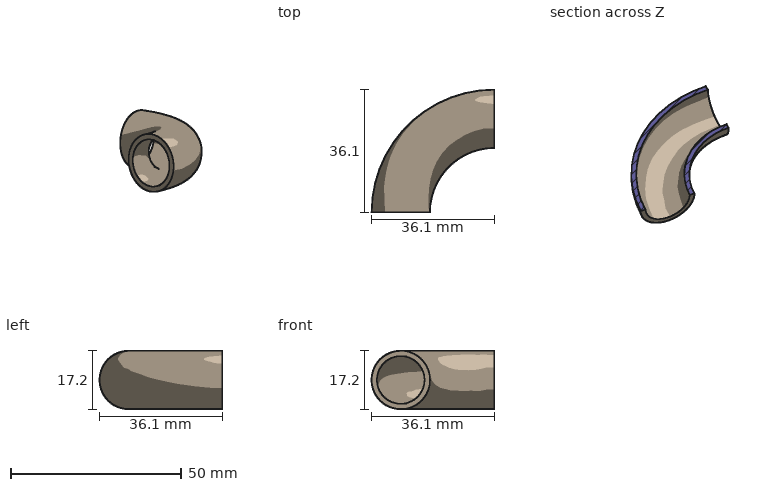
import cadquery as cq

outer_diameter = 17.2
wall_thickness = 1.6
bend_radius = 27.5
bend_angle = 90

inner_diameter = outer_diameter - 2 * wall_thickness


def make_elbow():
    """Sweep the pipe ring about a vertical axis, from the -Y facing end to the +X facing end."""
    ring = (
        cq.Workplane("XZ")
        .circle(outer_diameter / 2)
        .circle(inner_diameter / 2)
    )
    axis_start = (bend_radius, 0)
    axis_end = (bend_radius, -1)
    return ring.revolve(bend_angle, axis_start, axis_end)


result = make_elbow()